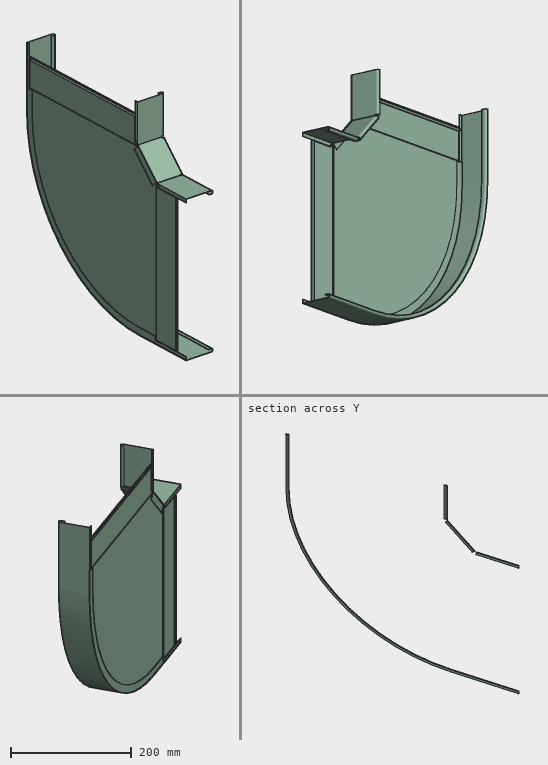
import cadquery as cq
import math

SIZE = 425.0
HEIGHT = 57.0
SHEET = 1.0

RIM_WIDTH = 7.2
OUTER_RIM_DEPTH = 9.8
INNER_RIM_DEPTH = 7.5
RIM_RADIUS = RIM_WIDTH / 2
SEAT_WIDTH = 14.5

STRAIGHT = 124.0
ARC_RADIUS = SIZE - STRAIGHT
INNER_OFFSET = 296.0
INNER_CORNER = 346.5
FLOOR_END = 344.5
SEAT_END = 342.5
CORNER_SETBACK = 1.3
RIM_NOTCH = 6.5
FLANGE_NOTCH = 2.5

TONGUE_TIP = 403.0
BEAD_CENTRE = 398.2
BEAD_WIDTH = 4.0
BEAD_DEPTH = 2.5
TONGUE_GAP = 1.0
TIP_CHAMFER = 2.5
RAMP = 1.3
MITRE = 6.5

ROOT_HALF = math.sqrt(0.5)


def wall_section(plane, flange_width, rim_depth):
    """Closed wall section: local x points into the tray, local y runs from flange to rim."""
    shoulder = HEIGHT - RIM_RADIUS
    return (
        cq.Workplane(plane)
        .moveTo(flange_width, 0)
        .lineTo(0, 0)
        .lineTo(0, shoulder)
        .threePointArc((RIM_RADIUS, HEIGHT), (RIM_WIDTH, shoulder))
        .lineTo(RIM_WIDTH, HEIGHT - rim_depth)
        .lineTo(RIM_WIDTH - SHEET, HEIGHT - rim_depth)
        .lineTo(RIM_WIDTH - SHEET, shoulder)
        .threePointArc((RIM_RADIUS, HEIGHT - SHEET), (SHEET, shoulder))
        .lineTo(SHEET, SHEET)
        .lineTo(flange_width, SHEET)
        .close()
    )


def wall_plane(start, inward):
    """Section plane at a point on the outer wall face; inward is an (x, z) direction."""
    return cq.Plane(
        origin=(start[0], 0, start[1]),
        xDir=(inward[0], 0, inward[1]),
        normal=(-inward[1], 0, inward[0]),
    )


def plate(outline, bottom, top):
    """Extrude an outline drawn in X and Z from y = bottom to y = top."""
    return outline.extrude(-(top - bottom)).translate((0, bottom, 0))


def mirrored(body):
    """Swap X and Z: the bend is symmetric about the plane x = z."""
    return body.mirror((1, 0, -1))


def quarter_edge(outline, inset, end):
    """Draw the line parallel to the outer wall face from z = end round the arc to x = end."""
    mid = ARC_RADIUS - (ARC_RADIUS - inset) * ROOT_HALF
    return (
        outline.moveTo(inset, end)
        .lineTo(inset, ARC_RADIUS)
        .threePointArc((mid, mid), (ARC_RADIUS, inset))
        .lineTo(end, inset)
    )


def quarter_outline(inset):
    """Closed outline of the quarter that the wide flange frames."""
    return quarter_edge(cq.Workplane("XZ"), inset, SEAT_END).lineTo(SEAT_END, SEAT_END).close()


def make_outer_wall():
    section_plane = wall_plane((0, ARC_RADIUS), (1, 0))
    straight = wall_section(section_plane, RIM_WIDTH, OUTER_RIM_DEPTH).extrude(STRAIGHT)
    curve_section = wall_section(section_plane, RIM_WIDTH, OUTER_RIM_DEPTH)
    curve = curve_section.revolve(90, (ARC_RADIUS, 4.2), (ARC_RADIUS, 0))

    seat = plate(quarter_outline(0), 0, SHEET).cut(plate(quarter_outline(SEAT_WIDTH), 0, SHEET))
    return straight.union(mirrored(straight)).union(curve).union(seat)


def make_inner_wall():
    end_length = SIZE - INNER_CORNER - CORNER_SETBACK
    end_plane = wall_plane((INNER_OFFSET, SIZE), (-1, 0))
    end_wall = wall_section(end_plane, RIM_WIDTH, INNER_RIM_DEPTH).extrude(end_length)

    flange_edge = INNER_OFFSET - RIM_WIDTH
    mitre = cq.Workplane("XZ").polyline([
        (INNER_OFFSET, INNER_CORNER),
        (flange_edge, INNER_CORNER),
        (flange_edge, INNER_CORNER + RIM_WIDTH),
    ]).close()
    end_wall = end_wall.cut(plate(mitre, 0, SHEET))

    diagonal_length = (INNER_CORNER - INNER_OFFSET) / ROOT_HALF - 2 * CORNER_SETBACK
    setback = CORNER_SETBACK * ROOT_HALF
    diagonal_start = (INNER_OFFSET + setback, INNER_CORNER - setback)
    diagonal_plane = wall_plane(diagonal_start, (-ROOT_HALF, -ROOT_HALF))
    diagonal = wall_section(diagonal_plane, SEAT_WIDTH, INNER_RIM_DEPTH).extrude(diagonal_length)

    half_bend = math.radians(45 / 2)
    bend_shift = SHEET * math.tan(half_bend)
    inner_face = INNER_OFFSET - SHEET
    inner_corner = INNER_CORNER - bend_shift
    web = plate(
        cq.Workplane("XZ").polyline([
            (INNER_OFFSET, SIZE),
            (INNER_OFFSET, INNER_CORNER),
            (INNER_CORNER, INNER_OFFSET),
            (SIZE, INNER_OFFSET),
            (SIZE, inner_face),
            (inner_corner, inner_face),
            (inner_face, inner_corner),
            (inner_face, SIZE),
        ]).close(),
        FLANGE_NOTCH,
        HEIGHT - RIM_NOTCH,
    )
    return web.union(end_wall).union(mirrored(end_wall)).union(diagonal)


def make_tongue():
    """Tongue along Z: stepped down by the flange thickness, with a bead near its tip."""
    left = RIM_WIDTH + TONGUE_GAP
    right = INNER_OFFSET - RIM_WIDTH - TONGUE_GAP
    ramp_start = FLOOR_END - RAMP
    groove_half = BEAD_WIDTH / 2
    bead_half = groove_half + SHEET
    bead_top = BEAD_DEPTH + SHEET
    profile = (
        cq.Workplane("YZ")
        .moveTo(SHEET, ramp_start)
        .lineTo(0, FLOOR_END)
        .lineTo(0, BEAD_CENTRE - groove_half)
        .threePointArc((BEAD_DEPTH, BEAD_CENTRE), (0, BEAD_CENTRE + groove_half))
        .lineTo(0, TONGUE_TIP)
        .lineTo(SHEET, TONGUE_TIP)
        .lineTo(SHEET, BEAD_CENTRE + bead_half)
        .threePointArc((bead_top, BEAD_CENTRE), (SHEET, BEAD_CENTRE - bead_half))
        .lineTo(SHEET, FLOOR_END)
        .lineTo(2 * SHEET, ramp_start)
        .close()
        .extrude(INNER_OFFSET)
    )
    outline = plate(
        cq.Workplane("XZ").polyline([
            (left, ramp_start),
            (left, TONGUE_TIP - TIP_CHAMFER),
            (left + TIP_CHAMFER, TONGUE_TIP),
            (right - TIP_CHAMFER, TONGUE_TIP),
            (right, TONGUE_TIP - TIP_CHAMFER),
            (right, FLOOR_END + MITRE),
            (right + MITRE, FLOOR_END),
            (right + MITRE, ramp_start),
        ]).close(),
        0,
        bead_top,
    )
    return profile.intersect(outline)


def make_floor():
    panel_end = FLOOR_END - RAMP
    corner = INNER_OFFSET + INNER_CORNER - SHEET / ROOT_HALF - panel_end
    outline = (
        quarter_edge(cq.Workplane("XZ"), SHEET, panel_end)
        .lineTo(panel_end, corner)
        .lineTo(corner, panel_end)
        .close()
    )
    panel = plate(outline, SHEET, 2 * SHEET)
    tongue = make_tongue()
    return panel.union(tongue).union(mirrored(tongue))


outer_wall = make_outer_wall()
inner_wall = make_inner_wall()
floor = make_floor()
result = cq.Compound.makeCompound([outer_wall.solids().val(), inner_wall.solids().val(), floor.solids().val()])